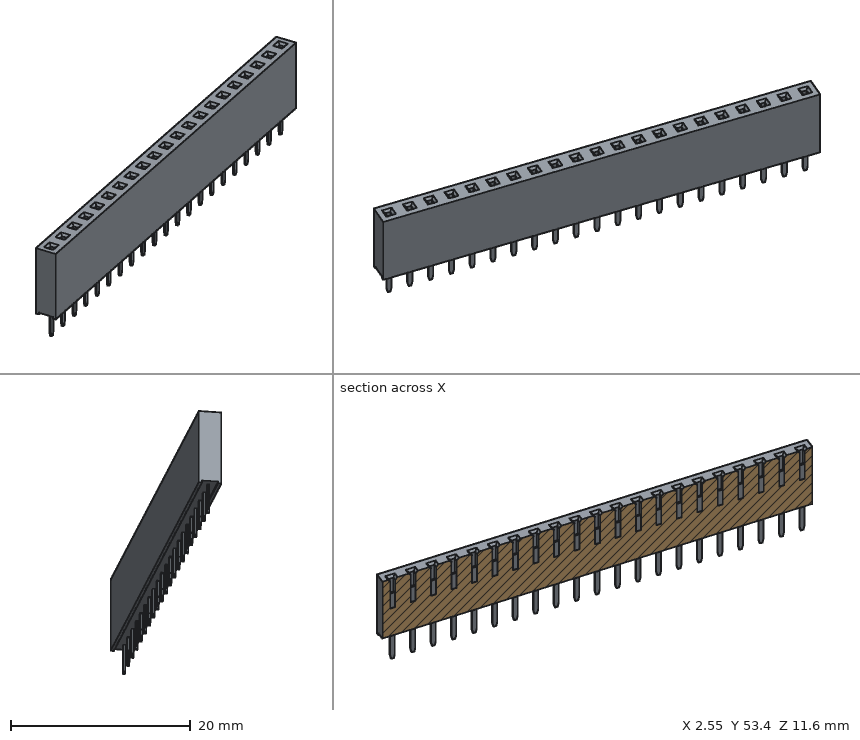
import cadquery as cq

length = 53.35
width = 2.55
total_height = 11.6

contact_count = 21
pitch = length / contact_count

housing_height = 8.5
top_z = total_height / 2
housing_bottom_z = top_z - housing_height
groove_depth = 0.2
foot_width = 0.4
groove_width = width - 2 * foot_width

mouth_size = 1.2
bore_size = 0.6
funnel_depth = (mouth_size - bore_size) / 2
socket_depth = housing_height / 2

contact_width = bore_size
contact_thickness = 0.2
contact_top_z = top_z - socket_depth / 2
tip_width = 0.3
tip_length = 0.55
tip_end_z = -total_height / 2


def make_housing():
    """Rectangular bar with a shallow groove along its underside."""
    base = cq.Workplane("XY").workplane(offset=housing_bottom_z)
    bar = base.rect(width, length).extrude(housing_height)
    groove = base.rect(groove_width, length).extrude(groove_depth)
    return bar.cut(groove)


def make_socket():
    """Volume removed for one contact opening."""
    funnel = (
        cq.Workplane("XY")
        .workplane(offset=top_z)
        .rect(mouth_size, mouth_size)
        .workplane(offset=-funnel_depth)
        .rect(bore_size, bore_size)
        .loft()
    )
    bore = cq.Workplane("XY").workplane(offset=top_z).rect(bore_size, bore_size).extrude(-socket_depth)
    return funnel.union(bore)


def make_contact():
    """One contact strip, running from inside the bore down to the solder tip."""
    shoulder_z = tip_end_z + tip_length
    outline = [
        (-contact_width / 2, contact_top_z),
        (-contact_width / 2, shoulder_z),
        (-tip_width / 2, tip_end_z),
        (tip_width / 2, tip_end_z),
        (contact_width / 2, shoulder_z),
        (contact_width / 2, contact_top_z),
    ]
    return cq.Workplane("YZ").polyline(outline).close().extrude(contact_thickness / 2, both=True)


def repeat_along_row(shape):
    """Copy a shape to every contact position."""
    contact_row = cq.Workplane("XY").rarray(pitch, pitch, 1, contact_count)
    return contact_row.eachpoint(lambda place: shape.val().moved(place), combine=False)


sockets = repeat_along_row(make_socket())
contacts = repeat_along_row(make_contact())

result = make_housing()
for socket in sockets.vals():
    result = result.cut(cq.Workplane(socket))
for contact in contacts.vals():
    result = result.union(cq.Workplane(contact))